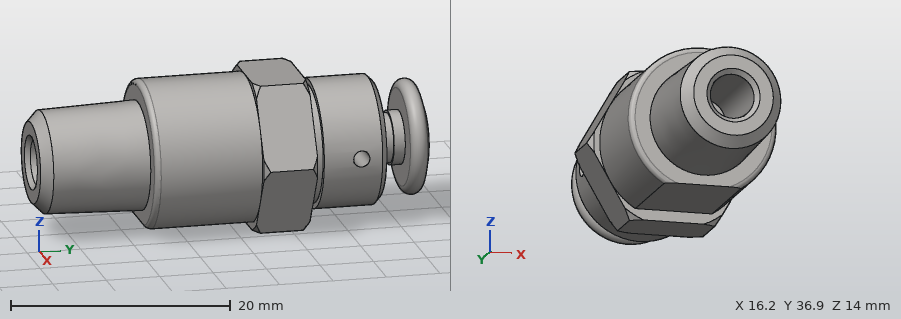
import cadquery as cq
import math

length = 36.9
across_flats = 14.0
across_corners = across_flats / math.cos(math.pi / 6)
edge_chamfer = 0.5

thread_chamfer = 1.0
thread_end = 10.0
hex_start = 20.0
hex_end = 25.0
collar_start = 26.0
collar_end = 32.0
stem_groove_start = 32.47
stem_groove_end = 33.4
button_base = 34.43

thread_tip_radius = 4.75
thread_base_radius = 5.05
body_radius = across_flats / 2
neck_radius = 5.5
collar_radius = 12.0 / 2
stem_radius = 2.5
stem_groove_radius = 4.6 / 2
button_radius = 5.3
button_rim_radius = 0.8

flat_height = 5.98

bore_radius = 2.05
bore_mouth_radius = 2.5
bore_depth = thread_end
vent_diameter = 1.5
vent_position = 29.52


def cylinder_y(radius, start, end):
    """Cylinder about the Y axis between two stations."""
    return cq.Workplane("XZ", origin=(0, start, 0)).circle(radius).extrude(start - end)


def revolve_y(profile):
    """Solid of revolution about the Y axis from a closed XY profile."""
    return profile.close().revolve(360, (0, 0, 0), (0, 1, 0))


def make_thread():
    """Tapered end with a chamfered tip."""
    return revolve_y(
        cq.Workplane("XY")
        .lineTo(thread_tip_radius - thread_chamfer, 0)
        .lineTo(thread_tip_radius, thread_chamfer)
        .lineTo(thread_base_radius, thread_end)
        .lineTo(0, thread_end)
    )


def make_body():
    """Round body with a rounded front edge and a flat underneath."""
    body = cylinder_y(body_radius, thread_end, hex_start).faces("<Y").edges().fillet(edge_chamfer)
    below_flat = cq.Workplane("XY").box(
        across_corners, length, across_flats, centered=(True, False, False)
    ).translate((0, 0, -flat_height - across_flats))
    return body.cut(below_flat)


def make_hexagon():
    """Hexagon with corners turned off at 45 degrees on both ends."""
    hexagon = (
        cq.Workplane("XZ", origin=(0, hex_start, 0))
        .polygon(6, across_corners)
        .extrude(hex_start - hex_end)
    )
    envelope = cylinder_y(across_corners / 2, hex_start, hex_end).faces("<Y or >Y").chamfer(edge_chamfer)
    return hexagon.intersect(envelope)


def make_collar():
    """Recessed neck and chamfered collar behind the hexagon."""
    neck = cylinder_y(neck_radius, hex_end, collar_start)
    collar = cylinder_y(collar_radius, collar_start, collar_end).faces(">Y").chamfer(edge_chamfer)
    return neck.union(collar)


def make_button():
    """Grooved stem and a domed button whose dome runs tangent into its round rim."""
    rim_x = button_radius - button_rim_radius
    rim_y = button_base + button_rim_radius
    rim_drop = length - rim_y
    dome_radius = (rim_x**2 + rim_drop**2 - button_rim_radius**2) / (2 * (rim_drop - button_rim_radius))
    dome_center_y = length - dome_radius
    tangent_angle = math.atan2(rim_y - dome_center_y, rim_x)
    half_angle = (tangent_angle + math.pi / 2) / 2

    def dome_point(angle):
        return (dome_radius * math.cos(angle), dome_center_y + dome_radius * math.sin(angle))

    return revolve_y(
        cq.Workplane("XY")
        .moveTo(0, collar_end)
        .lineTo(stem_radius, collar_end)
        .lineTo(stem_radius, stem_groove_start)
        .lineTo(stem_groove_radius, stem_groove_start)
        .lineTo(stem_groove_radius, stem_groove_end)
        .lineTo(stem_radius, stem_groove_end)
        .lineTo(stem_radius, button_base)
        .lineTo(rim_x, button_base)
        .threePointArc((button_radius, rim_y), dome_point(tangent_angle))
        .threePointArc(dome_point(half_angle), (0, length))
    )


def make_bore():
    """Blind inlet bore with a 45 degree countersunk mouth."""
    return revolve_y(
        cq.Workplane("XY")
        .lineTo(bore_mouth_radius, 0)
        .lineTo(bore_radius, bore_mouth_radius - bore_radius)
        .lineTo(bore_radius, bore_depth)
        .lineTo(0, bore_depth)
    )


def make_vent():
    """Cross hole through the collar along X."""
    return (
        cq.Workplane("YZ")
        .center(vent_position, 0)
        .circle(vent_diameter / 2)
        .extrude(collar_radius + edge_chamfer, both=True)
    )


result = (
    make_thread()
    .union(make_body())
    .union(make_hexagon())
    .union(make_collar())
    .union(make_button())
    .cut(make_bore())
    .cut(make_vent())
)